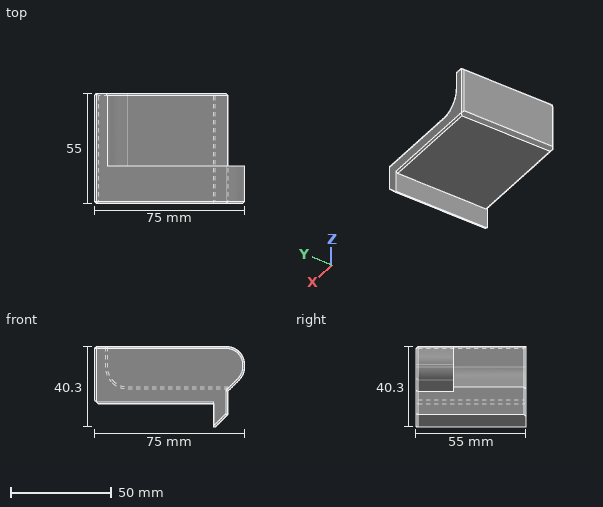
import cadquery as cq
import math

length = 75.05
width = 55.0
height = 40.3
body_depth = 28.7
edge_chamfer = 1.0
corner_chamfer = 2 * edge_chamfer

tolerance = 0.01

nose_radius = 9.0
nose_flat = 1.3

tab_left = 59.5
tab_right = 66.65
tab_tip_flat = 0.8

arm_width = 18.8
wall_thickness = 6.5
floor_depth = 20.3
floor_fillet = 10.05

nose_center_x = length - nose_radius
nose_end_x = nose_center_x + nose_radius * math.cos(math.pi / 4)
nose_end_z = -nose_radius - nose_flat - nose_radius * math.sin(math.pi / 4)
nose_slope_bottom = nose_end_z - (nose_end_x - tab_right)
tab_slope_top = -height + tab_right - tab_left - tab_tip_flat


def add_lower_outline(sketch):
    """Continue down the tab, back along the underside and up the left side."""
    return (
        sketch.lineTo(tab_right, tab_slope_top)
        .lineTo(tab_left + tab_tip_flat, -height)
        .lineTo(tab_left, -height)
        .lineTo(tab_left, -body_depth)
        .lineTo(0, -body_depth)
        .close()
    )


def make_arm():
    """Front arm with the rounded nose."""
    outline = (
        cq.Workplane("XZ")
        .lineTo(nose_center_x, 0)
        .radiusArc((length, -nose_radius), nose_radius)
        .lineTo(length, -nose_radius - nose_flat)
        .radiusArc((nose_end_x, nose_end_z), nose_radius)
        .lineTo(tab_right, nose_slope_bottom)
    )
    return add_lower_outline(outline).extrude(-arm_width)


def make_recessed_block():
    """Lower block behind the arm, with a filleted wall along its left side."""
    outline = (
        cq.Workplane("XZ", origin=(0, arm_width, 0))
        .lineTo(wall_thickness, 0)
        .lineTo(wall_thickness, -floor_depth + floor_fillet)
        .radiusArc((wall_thickness + floor_fillet, -floor_depth), -floor_fillet)
        .lineTo(tab_right, -floor_depth)
    )
    return add_lower_outline(outline).extrude(-(width - arm_width))


def is_plain_edge(edge):
    """True for outline edges that stay sharp: tab left side, tip and rear slope, and the wall top."""
    center = edge.Center()
    on_tab_left = abs(center.x - tab_left) < tolerance
    on_tip = abs(center.z + height) < tolerance
    on_wall_top = abs(center.z) < tolerance and center.y > arm_width
    on_rear_slope = center.y > arm_width and -height < center.z < tab_slope_top
    return on_tab_left or on_tip or on_wall_top or on_rear_slope


def chamfer_end_faces(body):
    """Chamfer the front and back outlines and the top left edge."""
    outlines = body.faces("<Y or >Y").edges().vals()
    outlines = [edge for edge in outlines if not is_plain_edge(edge)]
    top_left = body.faces("<X").edges(">Z").vals()
    return body.newObject(outlines + top_left).chamfer(edge_chamfer)


def make_corner_cutter():
    """Wedge for the larger chamfer along the lower left edge."""
    return (
        cq.Workplane("XZ")
        .moveTo(0, -body_depth)
        .lineTo(corner_chamfer, -body_depth)
        .lineTo(0, -body_depth + corner_chamfer)
        .close()
        .extrude(-width)
    )


body = make_arm().union(make_recessed_block()).clean()
result = chamfer_end_faces(body).cut(make_corner_cutter())